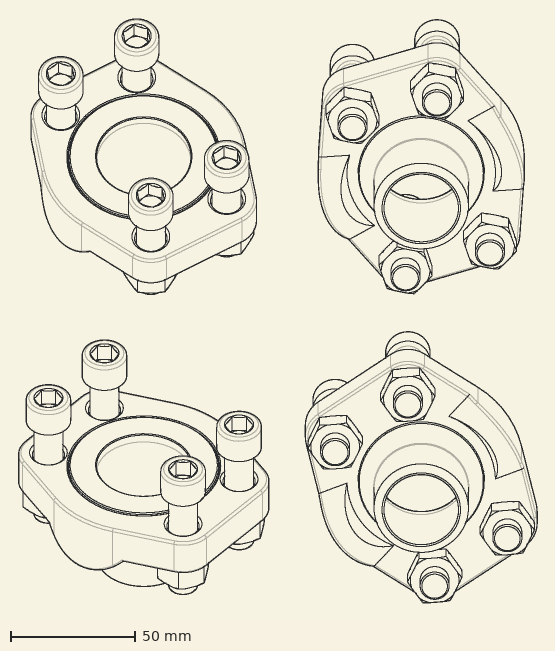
import cadquery as cq
import math


plate_width = 94.0
plate_thickness = 16.0
end_radius = 41.5
edge_fillet = 1.0

bolt_x = 69.9 / 2
bolt_y = 35.7 / 2
corner_radius = plate_width / 2 - bolt_x
bolt_hole_diameter = 13.0
bolt_hole_chamfer = 1.1

lug_end_radius = 25.8
lug_taper = math.radians(10.0)
lug_inner_radius = 29.9
lug_inner_flare = math.radians(20)

seat_diameter = 61.1
seat_chamfer = 0.45
flange_bore_diameter = 50.8
collar_thickness = 8.5

collar_diameter = 60.3
collar_rise = 0.5
collar_chamfer = 0.5
neck_diameter = 50.0
neck_bottom_z = -16.8
pipe_diameter = 38.0
pipe_shoulder_z = -24.5
shoulder_fillet = 1.0
stub_length = 50.0
bevel_width = 3.2
bevel_angle = math.radians(30)
mouth_diameter = 38.0
mouth_depth = 4.0
mouth_chamfer = 0.4
outlet_diameter = 30.0

shank_diameter = 11.7
shank_length = 50.0
head_diameter = 18.0
head_height = 12.0
head_fillet = 1.2
head_underside_z = 17.0
underhead_radius = 1.0
tip_diameter = 10.34
tip_chamfer_height = 0.6
socket_across_flats = 10.0
socket_depth = 7.5
socket_mouth_diameter = 11.7
socket_mouth_chamfer = 0.7
socket_floor_angle = math.radians(30)
socket_turn = 39.0

nut_across_flats = 19.0
nut_height = 10.0
nut_face_diameter = 19.6
nut_chamfer_angle = math.radians(30)

lug_space_bottom_z = -2 * plate_thickness
collar_bottom_z = collar_rise - collar_thickness
stub_bottom_z = collar_rise - stub_length
bolt_points = [(sx * bolt_x, sy * bolt_y) for sx in (-1, 1) for sy in (-1, 1)]


def revolve_profile(points):
    """Solid of revolution about Z from (radius, z) points."""
    return cq.Workplane("XZ").polyline(points).close().revolve(360, (0, 0), (0, 1))


def hex_across_corners(across_flats):
    return across_flats / math.cos(math.radians(30))


def plate_outline():
    """Two end arcs and four corner arcs joined by common tangents and two straight sides."""
    bolt_distance = math.hypot(bolt_x, bolt_y)
    tangent_angle = math.atan2(bolt_y, bolt_x) + math.acos((end_radius - corner_radius) / bolt_distance)
    normal_x, normal_y = math.cos(tangent_angle), math.sin(tangent_angle)
    middle_angle = tangent_angle / 2
    end_x, end_y = end_radius * normal_x, end_radius * normal_y
    tangent_x, tangent_y = bolt_x + corner_radius * normal_x, bolt_y + corner_radius * normal_y
    mid_x = bolt_x + corner_radius * math.cos(middle_angle)
    mid_y = bolt_y + corner_radius * math.sin(middle_angle)
    side_x = plate_width / 2
    return (
        cq.Workplane("XY")
        .moveTo(side_x, -bolt_y)
        .lineTo(side_x, bolt_y)
        .threePointArc((mid_x, mid_y), (tangent_x, tangent_y))
        .lineTo(end_x, end_y)
        .threePointArc((0, end_radius), (-end_x, end_y))
        .lineTo(-tangent_x, tangent_y)
        .threePointArc((-mid_x, mid_y), (-side_x, bolt_y))
        .lineTo(-side_x, -bolt_y)
        .threePointArc((-mid_x, -mid_y), (-tangent_x, -tangent_y))
        .lineTo(-end_x, -end_y)
        .threePointArc((0, -end_radius), (end_x, -end_y))
        .lineTo(tangent_x, -tangent_y)
        .threePointArc((mid_x, -mid_y), (side_x, -bolt_y))
        .close()
    )


def lug_cone(direction):
    """Cone along Y from the centre out past one end of the plate."""
    length = plate_width / 2
    slope = math.tan(lug_taper)
    centre_radius = lug_end_radius - end_radius * slope
    outer_radius = centre_radius + length * slope
    return cq.Workplane(
        cq.Solid.makeCone(
            centre_radius, outer_radius, length, cq.Vector(0, 0, 0), cq.Vector(0, direction, 0)
        )
    )


def make_bolt_hole():
    """Cutter for one bolt hole with a chamfered mouth."""
    radius = bolt_hole_diameter / 2
    return revolve_profile([
        (0, 0),
        (radius + bolt_hole_chamfer, 0),
        (radius, -bolt_hole_chamfer),
        (radius, -plate_thickness),
        (0, -plate_thickness),
    ])


def make_blank():
    """Plate and lugs with rounded upper and lower rims."""
    body = plate_outline().extrude(-plate_thickness)
    lug_space = plate_outline().extrude(lug_space_bottom_z)
    for direction in (-1, 1):
        body = body.union(lug_cone(direction).intersect(lug_space))
    wall_edges = body.faces("#Z").edges()
    lower_rim = wall_edges.filter(lambda edge: edge.Center().z < -plate_thickness + edge_fillet)
    upper_rim = body.faces(">Z").edges()
    return body.newObject([*lower_rim.vals(), *upper_rim.vals()]).fillet(edge_fillet)


def make_opening():
    """Cutter for the seat with its chamfered mouth, the bore, and the flared hollow between the lugs."""
    hollow_height = -plate_thickness - lug_space_bottom_z
    hollow_bottom_radius = lug_inner_radius + hollow_height * math.tan(lug_inner_flare)
    seat_radius = seat_diameter / 2
    bore_radius = flange_bore_diameter / 2
    return revolve_profile([
        (0, 0),
        (seat_radius + seat_chamfer, 0),
        (seat_radius, -seat_chamfer),
        (seat_radius, collar_bottom_z),
        (bore_radius, collar_bottom_z),
        (bore_radius, -plate_thickness),
        (lug_inner_radius, -plate_thickness),
        (hollow_bottom_radius, lug_space_bottom_z),
        (0, lug_space_bottom_z),
    ])


def make_flange():
    body = make_blank().cut(make_opening())
    for x, y in bolt_points:
        body = body.cut(make_bolt_hole().translate((x, y, 0)))
    return body.solids()


def make_stub():
    collar_radius = collar_diameter / 2
    neck_radius = neck_diameter / 2
    pipe_radius = pipe_diameter / 2
    mouth_radius = mouth_diameter / 2
    bevel_height = bevel_width * math.tan(bevel_angle)
    body = revolve_profile([
        (outlet_diameter / 2, stub_bottom_z),
        (pipe_radius - bevel_width, stub_bottom_z),
        (pipe_radius, stub_bottom_z + bevel_height),
        (pipe_radius, pipe_shoulder_z),
        (neck_radius, neck_bottom_z),
        (neck_radius, collar_bottom_z),
        (collar_radius, collar_bottom_z),
        (collar_radius, collar_rise - collar_chamfer),
        (collar_radius - collar_chamfer, collar_rise),
        (mouth_radius + mouth_chamfer, collar_rise),
        (mouth_radius, collar_rise - mouth_chamfer),
        (mouth_radius, collar_rise - mouth_depth),
    ])
    shoulder_centre = (0, 0, pipe_shoulder_z)
    return body.edges(cq.selectors.NearestToPointSelector(shoulder_centre)).fillet(shoulder_fillet)


def make_screw():
    shank_radius = shank_diameter / 2
    head_radius = head_diameter / 2
    top_z = head_underside_z + head_height
    tip_z = head_underside_z - shank_length
    body = (
        cq.Workplane("XZ")
        .moveTo(0, tip_z)
        .lineTo(tip_diameter / 2, tip_z)
        .lineTo(shank_radius, tip_z + tip_chamfer_height)
        .lineTo(shank_radius, head_underside_z - underhead_radius)
        .radiusArc((shank_radius + underhead_radius, head_underside_z), underhead_radius)
        .lineTo(head_radius, head_underside_z)
        .lineTo(head_radius, top_z - head_fillet)
        .radiusArc((head_radius - head_fillet, top_z), -head_fillet)
        .lineTo(0, top_z)
        .close()
        .revolve(360, (0, 0), (0, 1))
    )
    floor_z = top_z - socket_depth
    socket = (
        cq.Workplane("XY", origin=(0, 0, floor_z))
        .polygon(6, hex_across_corners(socket_across_flats))
        .extrude(socket_depth)
        .rotate((0, 0, 0), (0, 0, 1), socket_turn)
    )
    floor_radius = socket_across_flats / 2
    floor_cone = revolve_profile([
        (0, floor_z), (floor_radius, floor_z), (0, floor_z - floor_radius * math.tan(socket_floor_angle)),
    ])
    mouth_radius = socket_mouth_diameter / 2
    mouth = revolve_profile([
        (0, top_z), (mouth_radius, top_z),
        (mouth_radius - socket_mouth_chamfer, top_z - socket_mouth_chamfer), (0, top_z - socket_mouth_chamfer),
    ])
    return body.cut(socket).cut(floor_cone).cut(mouth)


def make_nut():
    bottom_z = -plate_thickness - nut_height
    corners = hex_across_corners(nut_across_flats)
    prism = (
        cq.Workplane("XY", origin=(0, 0, bottom_z))
        .polygon(6, corners)
        .circle(shank_diameter / 2)
        .extrude(nut_height)
    )
    face_radius = nut_face_diameter / 2
    drop = (corners / 2 - face_radius) * math.tan(nut_chamfer_angle)
    envelope = revolve_profile([
        (0, bottom_z), (face_radius, bottom_z), (corners / 2, bottom_z + drop),
        (corners / 2, -plate_thickness - drop), (face_radius, -plate_thickness), (0, -plate_thickness),
    ])
    return prism.intersect(envelope)


flange = make_flange()
stub = make_stub()
screws = [make_screw().translate((x, y, 0)) for x, y in bolt_points]
nuts = [make_nut().translate((x, y, 0)) for x, y in bolt_points]

result = cq.Compound.makeCompound([
    flange.val(),
    stub.val(),
    *[screw.val() for screw in screws],
    *[nut.val() for nut in nuts],
])